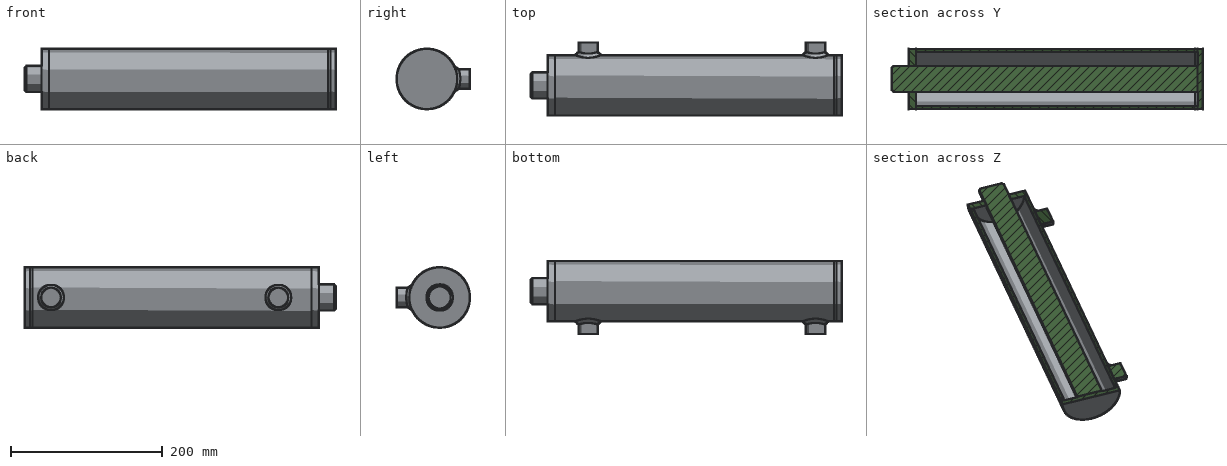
import cadquery as cq

total_length = 410.0
barrel_diameter = 80.0
bore_diameter = 70.0
barrel_radius = barrel_diameter / 2

rod_diameter = 35.0
rod_protrusion = 22.5
rod_chamfer = 3.0

gland_length = 10.0
weld_ring_length = 3.5
cap_length = 7.0
gland_start = rod_protrusion
barrel_start = gland_start + gland_length
cap_start = total_length - cap_length
weld_ring_start = cap_start - weld_ring_length

port_diameter = 26.0
port_radius = port_diameter / 2
port_height = 17.0
port_top = barrel_radius + port_height
port_positions = (76.0, 375.0)

weld_leg = 4.0

seam_margin = 1.2
seam_reach = port_radius + seam_margin
seam_low = barrel_radius - port_radius
seam_high = barrel_radius + seam_margin


def disc(start, end, diameter):
    """Solid cylinder on the X axis between two X positions."""
    return cq.Workplane("YZ").workplane(offset=start).circle(diameter / 2).extrude(end - start)


def ring(start, end, inner_diameter):
    """Tube of the barrel diameter with the given through hole."""
    return disc(start, end, barrel_diameter).cut(disc(start, end, inner_diameter))


barrel_envelope = disc(gland_start, total_length, barrel_diameter)


def make_rod():
    """Rod with a chamfered tip, reaching through the barrel to the end cap."""
    return disc(0, cap_start, rod_diameter).faces("<X").chamfer(rod_chamfer)


def make_port(x):
    """Round port whose foot is shaped to sit on the barrel."""
    port = cq.Workplane("XZ", origin=(x, port_top, 0)).circle(port_radius).extrude(port_top)
    return port.cut(barrel_envelope)


def make_port_weld(x):
    """Sloped bead following the saddle-shaped seam between port and barrel."""
    port = make_port(x)
    joint = barrel_envelope.union(port)
    seam = joint.edges(cq.selectors.BoxSelector(
        (x - seam_reach, seam_low, -seam_reach),
        (x + seam_reach, seam_high, seam_reach),
        boundingbox=True,
    ))
    return seam.chamfer(weld_leg).cut(barrel_envelope).cut(port)


rod = make_rod()
gland = ring(gland_start, barrel_start, rod_diameter)
barrel = ring(barrel_start, weld_ring_start, bore_diameter)
weld_ring = ring(weld_ring_start, cap_start, bore_diameter)
end_cap = disc(cap_start, total_length, barrel_diameter)
ports = [make_port(x) for x in port_positions]
port_welds = [make_port_weld(x) for x in port_positions]

result = cq.Compound.makeCompound([
    rod.val(),
    gland.val(),
    barrel.val(),
    weld_ring.val(),
    end_cap.val(),
    *[port.val() for port in ports],
    *[weld.val() for weld in port_welds],
])